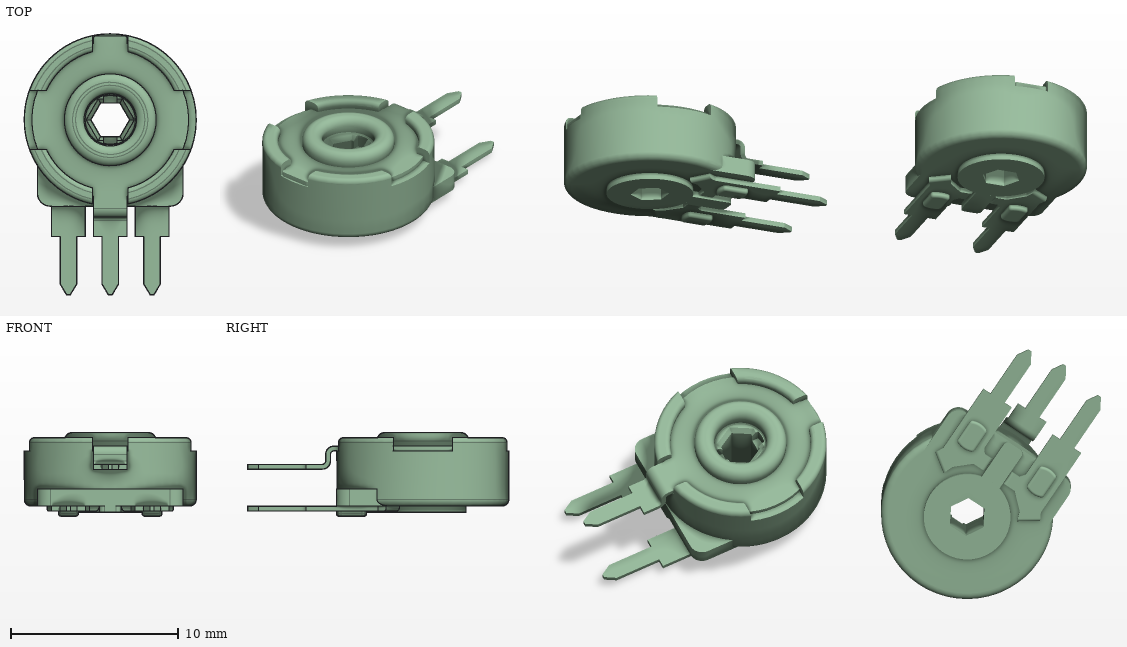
import cadquery as cq
import math


housing_radius = 5.153
rim_top = 4.1
rim_edge_radius = 0.28
floor_edge_radius = 0.4
rim_flat_radius = 9.0 / 2
rim_lip_radius = 0.28
rim_opening_radius = rim_flat_radius - rim_lip_radius
plate_seat_radius = 4.69
rotor_radius = 5.2 / 2
lead_slot_width = 2.11
side_slot_width = 3.53

foot_width = 8.73
foot_height = 1.03
foot_corner_radius = 0.78
foot_front = -5.18
rib_width = 1.28
rib_corner_radius = 0.3
rib_depth = 0.38
stud_width = 1.19
stud_length = 1.81
stud_end_bulge = 0.15
stud_corner_radius = 0.19
stud_depth = 0.61
stud_edge_radius = 0.15

sheet = 0.3
lug_width = 2.03
lead_width = 1.0
tip_width = 0.22
shoulder_y = -6.99
taper_y = -9.84
overall_length = 15.64
tip_y = housing_radius - overall_length
lead_pitch = 2.5

head_front = -4.07
terminal_outer_x = -lead_pitch - lug_width / 2
terminal_inner_x = -lead_pitch + lug_width / 2
head_end_radius = 0.19
outer_end = [(-3.78, -2.19), (-2.66, -1.4)]
inner_end = [(-0.69, -2.9), (-0.69, -3.75)]
head_outline = [
    (terminal_inner_x, head_front),
    (terminal_outer_x, head_front),
    (terminal_outer_x, -2.67),
    *outer_end,
    (-2.42, -2.03),
    (terminal_inner_x, -2.9),
    *inner_end,
    (-1.24, -3.75),
]

plate_top = 3.6
plate_bottom = plate_top - sheet
back_tab_end = 5.02
back_tab_corner_radius = 0.15
bend_inner_radius = 0.2
bend_outer_radius = bend_inner_radius + sheet
riser_front = -5.82
middle_lead_top = 2.5

rotor_bottom = -0.38
knob_radius = 5.5 / 2
knob_top = 4.41
knob_edge_radius = 0.5
socket_radius = 3.15 / 2
socket_floor_radius = 3.0 / 2
socket_floor = 3.44
hex_flat_to_flat = 2.0
hex_chamfer = 0.25
keyway_width = 0.81
keyway_reach = 1.45
keyway_depth = 0.78


def cylinder(radius, bottom, top):
    return cq.Workplane("XY").workplane(offset=bottom).circle(radius).extrude(top - bottom)


def block(width, y_start, y_end, bottom, top):
    """Box centred on X = 0, from y_start to y_end."""
    return (
        cq.Workplane("XY")
        .box(width, y_end - y_start, top - bottom, centered=(True, False, False))
        .translate((0, y_start, bottom))
    )


def stud(x, depth):
    """Riveted stud under the foot: straight flanks and bulged ends, reaching down by depth."""
    half_width = stud_width / 2
    end = foot_front + stud_end_bulge
    start = foot_front + stud_length - stud_end_bulge
    return (
        cq.Workplane("XY")
        .moveTo(x - half_width, start)
        .lineTo(x - half_width, end)
        .threePointArc((x, end - stud_end_bulge), (x + half_width, end))
        .lineTo(x + half_width, start)
        .threePointArc((x, start + stud_end_bulge), (x - half_width, start))
        .close()
        .extrude(-depth)
        .edges("|Z").fillet(stud_corner_radius)
    )


def make_housing():
    body = (
        cylinder(housing_radius, 0, rim_top)
        .faces(">Z").edges().fillet(rim_edge_radius)
        .faces("<Z").edges().fillet(floor_edge_radius)
    )
    body = body.cut(cylinder(rim_opening_radius, plate_bottom, rim_top))
    body = body.faces(">Z").edges(cq.selectors.RadiusNthSelector(0)).fillet(rim_lip_radius)
    body = body.cut(cylinder(plate_seat_radius, plate_bottom, plate_top))
    body = body.cut(block(lead_slot_width, -housing_radius, housing_radius, plate_bottom, rim_top))
    body = body.cut(
        block(2 * housing_radius, -side_slot_width / 2, side_slot_width / 2, plate_bottom, rim_top)
    )
    foot = block(foot_width, foot_front, 0, 0, foot_height).edges("|Z and <Y").fillet(foot_corner_radius)
    body = body.union(foot)
    rib = block(rib_width, foot_front, -rotor_radius / 2, -rib_depth, 0)
    body = body.union(rib.edges("|Z and <Y").fillet(rib_corner_radius))
    body = body.cut(cylinder(rotor_radius, -rib_depth, plate_bottom))
    for side in (-1, 1):
        rivet = stud(side * lead_pitch, stud_depth).faces("<Z").edges().fillet(stud_edge_radius)
        body = body.union(rivet)
    return body


def make_rotor():
    body = cylinder(rotor_radius, rotor_bottom, plate_top)
    body = body.union(cylinder(knob_radius, plate_top, knob_top))
    socket = cylinder(socket_radius, socket_floor, knob_top)
    body = body.cut(socket.faces("<Z").edges().chamfer(socket_radius - socket_floor_radius))
    body = body.faces(">Z").edges().fillet(knob_edge_radius)
    hex_corners = hex_flat_to_flat / math.cos(math.pi / 6)
    mouth_corners = (hex_flat_to_flat + 2 * hex_chamfer) / math.cos(math.pi / 6)
    floor_plane = cq.Workplane("XY").workplane(offset=socket_floor)
    hex_hole = floor_plane.polygon(6, hex_corners).extrude(rotor_bottom - socket_floor)
    hex_mouth = (
        floor_plane.polygon(6, mouth_corners)
        .workplane(offset=-hex_chamfer).polygon(6, hex_corners)
        .loft(ruled=True)
    )
    body = body.cut(hex_hole).cut(hex_mouth)
    keyway = block(keyway_width, -keyway_reach, keyway_reach, socket_floor - keyway_depth, socket_floor)
    return body.cut(keyway.intersect(cylinder(keyway_reach, rotor_bottom, socket_floor)))


def flat_lead(x, back_y, bottom):
    """Flat lead centred on x: a wide lug from back_y to the shoulder, then a pointed pin."""
    half_outline = [
        (lug_width / 2, back_y),
        (lug_width / 2, shoulder_y),
        (lead_width / 2, shoulder_y),
        (lead_width / 2, taper_y),
        (tip_width / 2, tip_y),
    ]
    left = [(x - half, y) for half, y in half_outline]
    right = [(x + half, y) for half, y in reversed(half_outline)]
    return cq.Workplane("XY").workplane(offset=bottom).polyline(left + right).close().extrude(sheet)


def make_wiper_plate():
    plate = cylinder(plate_seat_radius, plate_bottom, plate_top)
    back_tab = block(lug_width, 0, back_tab_end, plate_bottom, plate_top)
    plate = plate.union(back_tab.edges("|Z and >Y").fillet(back_tab_corner_radius))
    riser_back = riser_front + sheet
    upper_bend_y = riser_front + bend_outer_radius
    lower_bend_y = riser_front - bend_inner_radius
    lead_bottom = middle_lead_top - sheet
    anchor_y = -rotor_radius - sheet
    diagonal = math.sqrt(0.5)
    upper_center = (upper_bend_y, plate_top - bend_outer_radius)
    lower_center = (lower_bend_y, middle_lead_top + bend_inner_radius)
    outer_reach = bend_outer_radius * diagonal
    inner_reach = bend_inner_radius * diagonal
    bend = (
        cq.Workplane("YZ")
        .moveTo(anchor_y, plate_top)
        .lineTo(upper_bend_y, plate_top)
        .threePointArc(
            (upper_center[0] - outer_reach, upper_center[1] + outer_reach),
            (riser_front, upper_center[1]),
        )
        .lineTo(riser_front, lower_center[1])
        .threePointArc(
            (lower_center[0] + inner_reach, lower_center[1] - inner_reach),
            (lower_bend_y, middle_lead_top),
        )
        .lineTo(lower_bend_y, lead_bottom)
        .threePointArc(
            (lower_center[0] + outer_reach, lower_center[1] - outer_reach),
            (riser_back, lower_center[1]),
        )
        .lineTo(riser_back, upper_center[1])
        .threePointArc(
            (upper_center[0] - inner_reach, upper_center[1] + inner_reach),
            (upper_bend_y, plate_bottom),
        )
        .lineTo(anchor_y, plate_bottom)
        .close()
        .extrude(lug_width / 2, both=True)
    )
    lead = flat_lead(0, lower_bend_y, lead_bottom)
    return plate.union(bend).union(lead).cut(cylinder(rotor_radius, plate_bottom, plate_top))


def make_side_terminal(side):
    """Flat terminal under the foot, with a flared head beside the rotor and a hole for its stud."""
    terminal = flat_lead(-lead_pitch, head_front, -sheet)
    head = (
        cq.Workplane("XY").workplane(offset=-sheet)
        .polyline(head_outline).close().extrude(sheet)
    )
    for end_corners in (outer_end, inner_end):
        end_x = (end_corners[0][0] + end_corners[1][0]) / 2
        end_y = (end_corners[0][1] + end_corners[1][1]) / 2
        end_edge = cq.selectors.NearestToPointSelector((end_x, end_y, -sheet))
        head = head.edges(end_edge).fillet(head_end_radius)
    terminal = terminal.union(head).cut(stud(-lead_pitch, sheet))
    if side > 0:
        terminal = terminal.mirror("YZ")
    return terminal


housing = make_housing()
rotor = make_rotor()
wiper_plate = make_wiper_plate()
side_terminals = [make_side_terminal(side) for side in (-1, 1)]

result = cq.Compound.makeCompound(
    [housing.val(), rotor.val(), wiper_plate.val(), *[terminal.val() for terminal in side_terminals]]
)